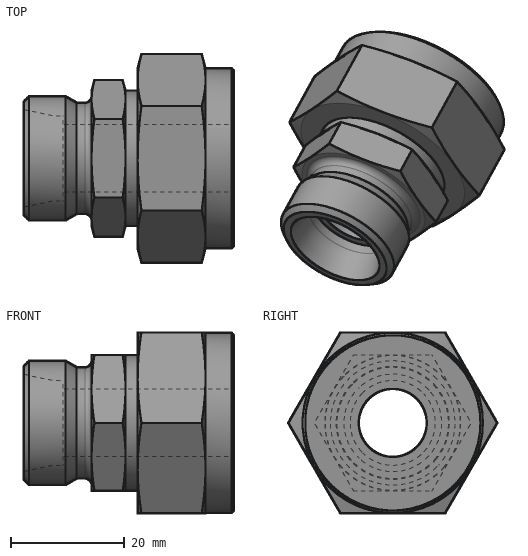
import cadquery as cq
import math


overall_length = 37.15
thread_end = 7.4
groove_end = 10.85
body_hex_start = 12.0
body_hex_end = 18.0
nut_start = 20.15
nut_end = 32.15

thread_radius = 11.0
thread_chamfer = 1.0
groove_radius = 9.85
groove_runout_angle = 30.0
body_hex_flats = 24.0
nut_flats = 32.0
corner_relief = 0.07
hex_chamfer_angle = 15.0
nut_sleeve_radius = nut_flats / 2 - corner_relief
nut_sleeve_chamfer = 0.45

bore_radius = 5.98
tube_radius = 7.5
cone_mouth_radius = 8.62
cone_half_angle = 12.0
tube_seat_depth = 7.0


def tangent(degrees):
    return math.tan(math.radians(degrees))


def revolve_about_x(profile):
    return profile.close().revolve(360, (0, 0, 0), (1, 0, 0))


def chamfered_hex(start, end, flats):
    """Hexagonal bar with corners on +Y and -Y, its corners turned off conically at both ends."""
    corner_radius = flats / math.sqrt(3)
    face_radius = flats / 2 - corner_relief
    chamfer_length = (corner_radius - face_radius) * tangent(hex_chamfer_angle)
    bar = (
        cq.Workplane("YZ")
        .workplane(offset=start)
        .polygon(6, 2 * corner_radius)
        .extrude(end - start)
    )
    envelope = revolve_about_x(
        cq.Workplane("XY")
        .moveTo(start, 0)
        .lineTo(start, face_radius)
        .lineTo(start + chamfer_length, corner_radius)
        .lineTo(end - chamfer_length, corner_radius)
        .lineTo(end, face_radius)
        .lineTo(end, 0)
    )
    return bar.intersect(envelope)


def threaded_end():
    """Chamfered thread cylinder, run-out cone, relief groove and the fillet up to the body hex."""
    groove_start = thread_end + (thread_radius - groove_radius) / tangent(groove_runout_angle)
    fillet = body_hex_start - groove_end
    fillet_mid = fillet * math.sqrt(0.5)
    return revolve_about_x(
        cq.Workplane("XY")
        .lineTo(0, thread_radius - thread_chamfer)
        .lineTo(thread_chamfer, thread_radius)
        .lineTo(thread_end, thread_radius)
        .lineTo(groove_start, groove_radius)
        .lineTo(groove_end, groove_radius)
        .threePointArc(
            (groove_end + fillet_mid, groove_radius + fillet - fillet_mid),
            (body_hex_start, groove_radius + fillet),
        )
        .lineTo(body_hex_start, 0)
    )


def collar():
    """Round neck between the body hex and the nut, as wide as the hex flats."""
    return (
        cq.Workplane("YZ")
        .workplane(offset=body_hex_end)
        .circle(body_hex_flats / 2)
        .extrude(nut_start - body_hex_end)
    )


def nut_sleeve():
    """Round sleeve behind the nut hex with a chamfered outer rim."""
    return (
        cq.Workplane("YZ")
        .workplane(offset=nut_end)
        .circle(nut_sleeve_radius)
        .extrude(overall_length - nut_end)
        .faces(">X")
        .chamfer(nut_sleeve_chamfer)
    )


def tube_socket():
    """Sealing cone and straight tube seat, stepping down to the through bore."""
    cone_depth = (cone_mouth_radius - tube_radius) / tangent(cone_half_angle)
    return revolve_about_x(
        cq.Workplane("XY")
        .lineTo(0, cone_mouth_radius)
        .lineTo(cone_depth, tube_radius)
        .lineTo(tube_seat_depth, tube_radius)
        .lineTo(tube_seat_depth, bore_radius)
        .lineTo(overall_length, bore_radius)
        .lineTo(overall_length, 0)
    )


result = (
    threaded_end()
    .union(chamfered_hex(body_hex_start, body_hex_end, body_hex_flats))
    .union(collar())
    .union(chamfered_hex(nut_start, nut_end, nut_flats))
    .union(nut_sleeve())
    .cut(tube_socket())
)